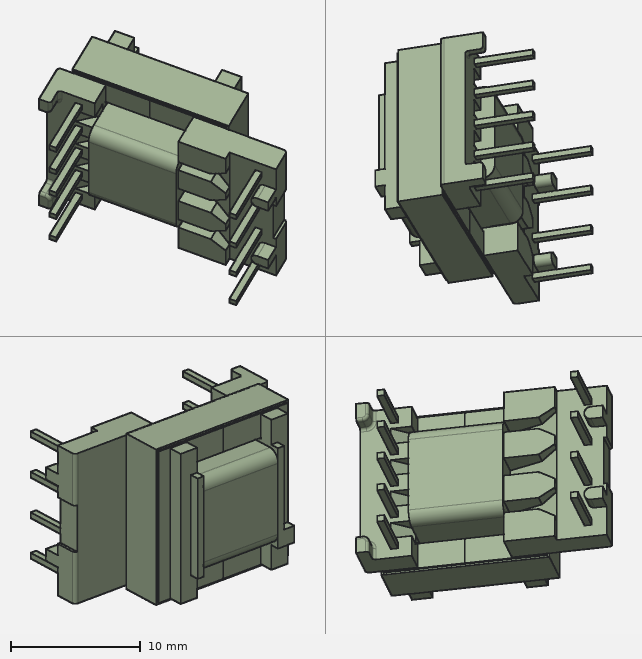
import cadquery as cq
import math


CORE_X = 12.95
CORE_Z = 13.06
LEG_THICKNESS = 2.13
CENTER_LEG_Z = 2 * LEG_THICKNESS
YOKE_INNER_X = CORE_X / 2 - LEG_THICKNESS
CORE_FRONT_Y = -1.95
CORE_BACK_Y = 1.91

TAPE_THICKNESS = 0.18
TAPE_BACK_Y = 1.77
TAPE_FRONT_Y = -1.8

COIL_X = 7.45
COIL_Z = 8.07
COIL_BACK_Y = 4.02
COIL_FRONT_Y = -5.1
COIL_CORNER_RADIUS = 0.98
COIL_END_X = COIL_X / 2

BOBBIN_LEFT_X = -7.8
BOBBIN_RIGHT_X = 11.7
BOBBIN_Z = 12.95
OPENING_Y = -2 * CORE_FRONT_Y
WALL = YOKE_INNER_X - COIL_END_X
TUBE_Y = OPENING_Y + 2 * WALL
TUBE_Z = CENTER_LEG_Z + 2 * WALL
FLANGE_Z = 8.65
BACK_BLOCK_END_X = 5.38
BACK_BLOCK_Y = 3.22
BACK_TAB_TOP_Z = -2.89
PLATE_FRONT_Y = -3.98
PLATE_EDGE_RADIUS = 0.3

STANDOFF_Y = -5.4
FOOT_X = 1.0
FOOT_Z = 1.46
FOOT_CORNER_RADIUS = 0.5
FOOT_EDGE_RADIUS = 0.25
PEG_LENGTH = 1.46
PEG_WIDTH = 1.03
PEG_SPACING = 7.02

PIN_X = 0.57
PIN_Z = 0.5
PIN_TIP_Y = -8.68
LEFT_PIN_X = -5.09
LEFT_PIN_COUNT = 5
LEFT_PIN_PITCH = 2.73
RIGHT_PIN_X = 10.22
RIGHT_PIN_COUNT = 4
RIGHT_PIN_PITCH = 3.5

SLOT_START_X = -BACK_BLOCK_END_X
SLOT_WIDTH = 1.33
SLOT_FLOOR_ANGLE = 41

LEDGE_END_X = 7.75
LEDGE_FRONT_Y = -4.68
GROOVE_PITCH = 3.5
OUTER_GROOVE_WIDTH = 0.98
MIDDLE_GROOVE_WIDTH = 1.52
FLARE_START_X = 6.47
FLARE_ANGLE = 30
GROOVE_FLOOR_ANGLE = 20

NOTCH_DEPTH = 0.25
NOTCH_WIDTH = 4.0


def box(x_range, y_range, z_range):
    """A box between the two given positions along each axis."""
    ranges = (x_range, y_range, z_range)
    sizes = [max(r) - min(r) for r in ranges]
    corner = tuple(min(r) for r in ranges)
    return cq.Workplane("XY").box(*sizes, centered=False).translate(corner)


def centered(size, middle=0):
    """The two ends of a length centred on a position."""
    return (middle - size / 2, middle + size / 2)


def spaced(count, pitch):
    """Evenly spaced positions centred on zero."""
    return [(i - (count - 1) / 2) * pitch for i in range(count)]


def make_core_half(side):
    """An E-shaped half: a yoke and three legs that meet the other half at X = 0."""
    end_x = side * CORE_X / 2
    core_y = (CORE_FRONT_Y, CORE_BACK_Y)
    half = box((0, end_x), core_y, centered(CORE_Z))
    for direction in (1, -1):
        window_z = (direction * CENTER_LEG_Z / 2, direction * (CORE_Z / 2 - LEG_THICKNESS))
        half = half.cut(box((0, side * YOKE_INNER_X), core_y, window_z))
    return half


def make_tape():
    """A band around the outside of both core halves."""
    band_y = (TAPE_FRONT_Y, TAPE_BACK_Y)
    outside = box(centered(CORE_X + 2 * TAPE_THICKNESS), band_y, centered(CORE_Z + 2 * TAPE_THICKNESS))
    return outside.cut(box(centered(CORE_X), band_y, centered(CORE_Z)))


def make_winding():
    """A block with rounded long edges, wound on the bobbin tube."""
    winding = box(centered(COIL_X), (COIL_FRONT_Y, COIL_BACK_Y), centered(COIL_Z))
    winding = winding.edges("|X").fillet(COIL_CORNER_RADIUS)
    return winding.cut(box(centered(COIL_X), centered(TUBE_Y), centered(TUBE_Z)))


def make_tube_and_flanges():
    """The tube under the winding, and behind the core the flanges with their full-height blocks."""
    body = box(centered(COIL_X), centered(TUBE_Y), centered(TUBE_Z))
    for side in (1, -1):
        flange_x = (side * COIL_END_X, side * YOKE_INNER_X)
        block_x = (side * COIL_END_X, side * BACK_BLOCK_END_X)
        body = body.union(box(flange_x, (CORE_FRONT_Y, COIL_BACK_Y), centered(FLANGE_Z)))
        body = body.union(box(block_x, (OPENING_Y / 2, BACK_BLOCK_Y), centered(BOBBIN_Z)))
    tab_x = (-BACK_BLOCK_END_X, -COIL_END_X)
    body = body.union(box(tab_x, (BACK_BLOCK_Y, COIL_BACK_Y), (-FLANGE_Z / 2, BACK_TAB_TOP_Z)))
    return body.cut(box(centered(2 * YOKE_INNER_X), centered(OPENING_Y), centered(CENTER_LEG_Z)))


def make_foot(direction):
    """A foot at a corner of the left plate, with a rounded inner corner."""
    foot_z = (direction * BOBBIN_Z / 2, direction * (BOBBIN_Z / 2 - FOOT_Z))
    foot = box((BOBBIN_LEFT_X, BOBBIN_LEFT_X + FOOT_X), (PLATE_FRONT_Y, STANDOFF_Y), foot_z)
    inner_corner = ">X and <Z" if direction > 0 else ">X and >Z"
    return foot.edges("|Y").edges(inner_corner).fillet(FOOT_CORNER_RADIUS)


def foot_corner_selector(direction, y):
    """Selects the corner edge of a foot at one height; the fillet follows it along the inner sides."""
    corner_x = BOBBIN_LEFT_X + FOOT_X
    corner_z = direction * (BOBBIN_Z / 2 - FOOT_Z)
    reach = FOOT_CORNER_RADIUS / 2
    return cq.selectors.BoxSelector(
        (corner_x - reach, y - reach, corner_z - reach),
        (corner_x + reach, y + reach, corner_z + reach),
    )


def make_slot(z):
    """The wedge removed for a wire slot."""
    length = -COIL_END_X - SLOT_START_X
    depth = length * math.tan(math.radians(SLOT_FLOOR_ANGLE))
    profile = [
        (SLOT_START_X, PLATE_FRONT_Y),
        (-COIL_END_X, PLATE_FRONT_Y),
        (-COIL_END_X, PLATE_FRONT_Y + depth),
    ]
    wedge = cq.Workplane("XY").polyline(profile).close().extrude(SLOT_WIDTH)
    return wedge.translate((0, 0, z - SLOT_WIDTH / 2))


def make_left_plate():
    """The plate that holds the row of five pins, with feet and wire slots."""
    plate = box((BOBBIN_LEFT_X, -COIL_END_X), (CORE_FRONT_Y, PLATE_FRONT_Y), centered(BOBBIN_Z))
    plate = plate.edges("|Z and <X and >Y").fillet(PLATE_EDGE_RADIUS)
    for direction in (1, -1):
        plate = plate.union(make_foot(direction))
        for y in (PLATE_FRONT_Y, STANDOFF_Y):
            plate = plate.edges(foot_corner_selector(direction, y)).fillet(FOOT_EDGE_RADIUS)
    for z in spaced(LEFT_PIN_COUNT - 1, LEFT_PIN_PITCH):
        plate = plate.cut(make_slot(z))
    return plate


def make_groove(z, width):
    """A flared wire groove whose floor slopes down from the end of the ledge to the winding."""
    half_mouth = width / 2 + (LEDGE_END_X - FLARE_START_X) * math.tan(math.radians(FLARE_ANGLE))
    depth = (LEDGE_END_X - COIL_END_X) * math.tan(math.radians(GROOVE_FLOOR_ANGLE))
    outline = [
        (COIL_END_X, z - width / 2),
        (FLARE_START_X, z - width / 2),
        (LEDGE_END_X, z - half_mouth),
        (LEDGE_END_X, z + half_mouth),
        (FLARE_START_X, z + width / 2),
        (COIL_END_X, z + width / 2),
    ]
    profile = [
        (COIL_END_X, LEDGE_FRONT_Y),
        (LEDGE_END_X, LEDGE_FRONT_Y),
        (LEDGE_END_X, PLATE_FRONT_Y),
        (COIL_END_X, PLATE_FRONT_Y + depth),
    ]
    groove = cq.Workplane("XZ", origin=(0, CORE_FRONT_Y, 0)).polyline(outline).close()
    groove = groove.extrude(CORE_FRONT_Y - LEDGE_FRONT_Y)
    sloped = cq.Workplane("XY").polyline(profile).close().extrude(BOBBIN_Z / 2, both=True)
    return groove.intersect(sloped)


def make_peg(z):
    """A peg at the right end with a round inner side."""
    round_x = BOBBIN_RIGHT_X - PEG_LENGTH + PEG_WIDTH / 2
    peg = box((round_x, BOBBIN_RIGHT_X), (PLATE_FRONT_Y, STANDOFF_Y), centered(PEG_WIDTH, z))
    round_side = cq.Workplane("XZ", origin=(0, PLATE_FRONT_Y, 0)).center(round_x, z)
    return peg.union(round_side.circle(PEG_WIDTH / 2).extrude(PLATE_FRONT_Y - STANDOFF_Y))


def make_right_plate():
    """The plate that holds the row of four pins, with a grooved ledge, pegs and an end notch."""
    plate = box((COIL_END_X, BOBBIN_RIGHT_X), (CORE_FRONT_Y, PLATE_FRONT_Y), centered(BOBBIN_Z))
    plate = plate.edges("|Z and >X and >Y").fillet(PLATE_EDGE_RADIUS)
    plate = plate.union(box((COIL_END_X, LEDGE_END_X), (PLATE_FRONT_Y, LEDGE_FRONT_Y), centered(BOBBIN_Z)))
    for z in spaced(3, GROOVE_PITCH):
        plate = plate.cut(make_groove(z, MIDDLE_GROOVE_WIDTH if z == 0 else OUTER_GROOVE_WIDTH))
    for z in spaced(2, PEG_SPACING):
        plate = plate.union(make_peg(z))
    notch_x = (BOBBIN_RIGHT_X - NOTCH_DEPTH, BOBBIN_RIGHT_X)
    return plate.cut(box(notch_x, (CORE_FRONT_Y, PLATE_FRONT_Y), centered(NOTCH_WIDTH)))


def make_pin(x, z):
    """A straight rectangular pin that stands on a plate."""
    return box(centered(PIN_X, x), (PLATE_FRONT_Y, PIN_TIP_Y), centered(PIN_Z, z))


def make_bobbin():
    """The whole bobbin: tube, flanges, both plates and the pins moulded into them."""
    body = make_tube_and_flanges().union(make_left_plate()).union(make_right_plate())
    for z in spaced(LEFT_PIN_COUNT, LEFT_PIN_PITCH):
        body = body.union(make_pin(LEFT_PIN_X, z))
    for z in spaced(RIGHT_PIN_COUNT, RIGHT_PIN_PITCH):
        body = body.union(make_pin(RIGHT_PIN_X, z))
    return body


bobbin = make_bobbin()
winding = make_winding()
core_halves = [make_core_half(side) for side in (-1, 1)]
tape = make_tape()

result = cq.Compound.makeCompound(
    [bobbin.val(), winding.val(), *[half.val() for half in core_halves], tape.val()]
)